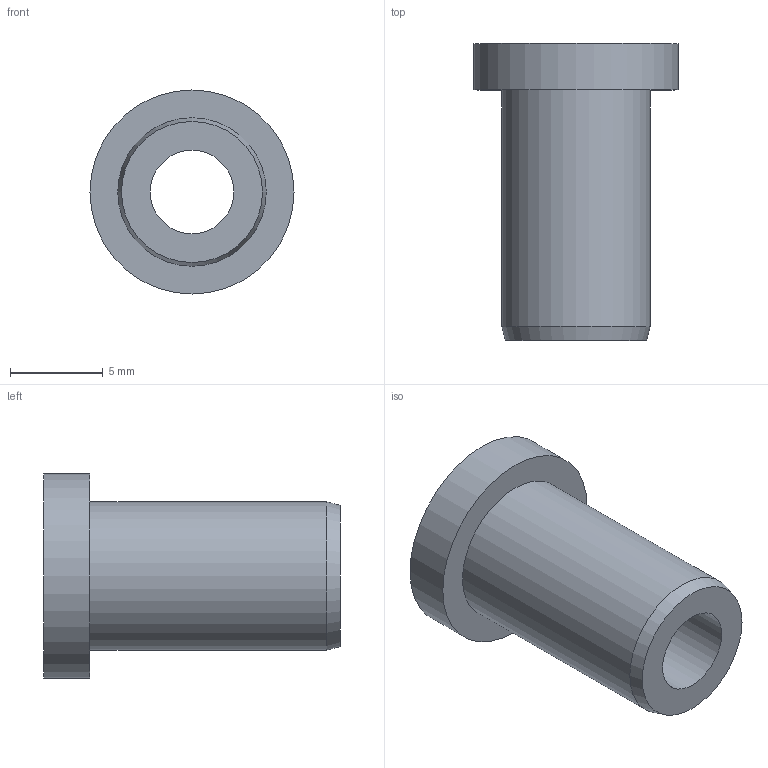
import cadquery as cq
import math

head_diameter = 11.0
body_diameter = 8.0
bore_diameter = 4.5
total_length = 16.0
head_thickness = 2.5
lead_in_length = 0.75
lead_in_angle = 15.0

body_length = total_length - head_thickness
lead_in_depth = lead_in_length * math.tan(math.radians(lead_in_angle))


def make_bushing():
    """Revolve the half section (radius along X, length along Y) about the Y axis."""
    bore_radius = bore_diameter / 2
    body_radius = body_diameter / 2
    head_radius = head_diameter / 2
    section = (
        cq.Workplane("XY")
        .moveTo(bore_radius, 0)
        .lineTo(body_radius - lead_in_depth, 0)
        .lineTo(body_radius, lead_in_length)
        .lineTo(body_radius, body_length)
        .lineTo(head_radius, body_length)
        .lineTo(head_radius, total_length)
        .lineTo(bore_radius, total_length)
        .close()
    )
    return section.revolve(360, (0, 0, 0), (0, 1, 0))


result = make_bushing()